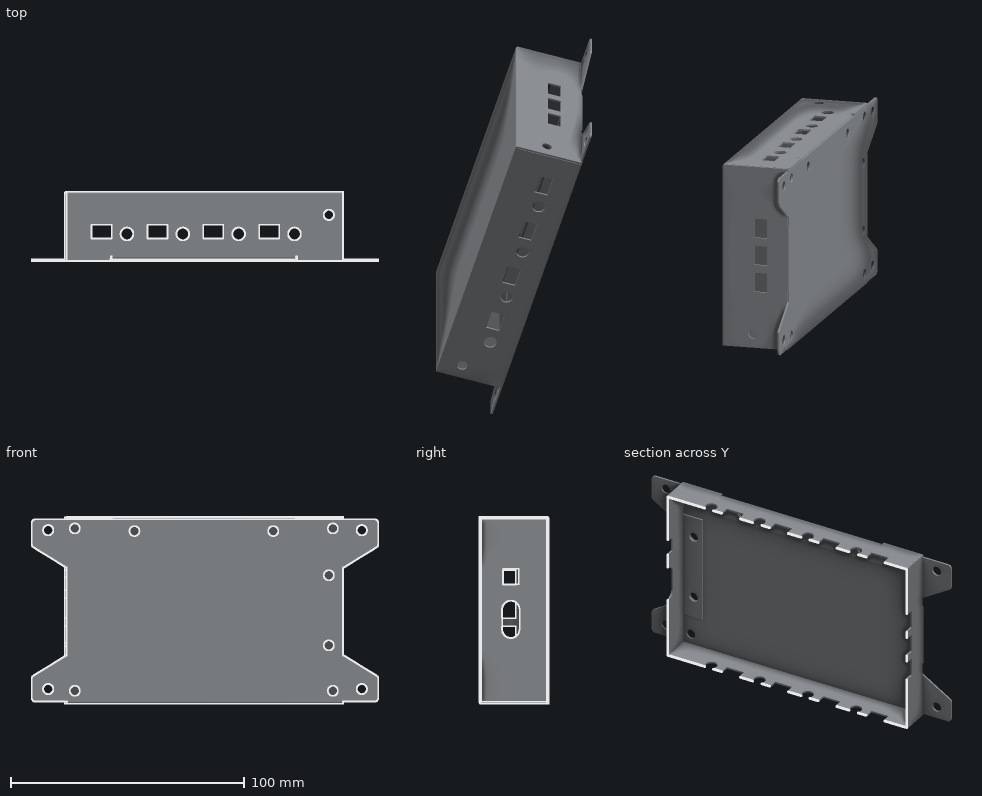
import cadquery as cq
EAR_SPAN = 148.8
DEPTH = 29.8
HEIGHT = 80.2
SHEET = 0.8
CLEARANCE = 0.18
BEND_RADIUS = 0.9
PANEL_SPAN = 118.5
SCREW_DIAMETER = 4.3

RIGHT = PANEL_SPAN / 2
PLATE_LEFT = -RIGHT
LEFT_INNER = PLATE_LEFT - CLEARANCE
LEFT = LEFT_INNER - SHEET
BOX_CENTER_X = (LEFT + RIGHT) / 2
TOP = HEIGHT / 2
TOP_INNER = TOP - SHEET
PLATE_TOP = TOP_INNER - CLEARANCE
BOTTOM = -HEIGHT / 2
BOTTOM_INNER = BOTTOM + SHEET
BACK_INNER = DEPTH - SHEET
EAR_BOTTOM = BOTTOM + BEND_RADIUS

EAR_CORNER_RADIUS = 1.8
EAR_EDGE_HALF_GAP = 28.0
NOTCH_HALF_HEIGHT = 18.6
EAR_HOLE_X = 67.3
EAR_HOLE_HALF_SPACING = 34.1
HOLE_CENTER_Z = 0.3
CORNER_HOLE_HALF_X = 55.4
CORNER_HOLE_HALF_Z = 34.8

TAB_DEPTH = 10.4
TAB_HOLE_INSET = 6.1
TAB_END_MARGIN = 9.8
TOP_TAB_HOLE_HALF_SPACING = 29.8
SIDE_TAB_HOLE_HALF_SPACING = 15.0
RELIEF_WIDTH = 0.5
RELIEF_DEPTH = 1.3
TOP_TAB_HOLES = [
    (BOX_CENTER_X + side * TOP_TAB_HOLE_HALF_SPACING, TOP - TAB_HOLE_INSET) for side in (-1, 1)
]
SIDE_TAB_HOLES = [(RIGHT - TAB_HOLE_INSET, side * SIDE_TAB_HOLE_HALF_SPACING) for side in (-1, 1)]

EAR_SLOT_HALF_GAP = 14.1
CORNER_STEP = 0.09

OPENING_LENGTH = 8.5
OPENING_WIDTH = 5.8
OPENING_Y = 12.6
PITCH = 24.0
TOP_OPENING_COUNT = 4
FIRST_OPENING_X = -44.3
ROUND_OPENING_OFFSET = 10.9
ROUND_OPENING_Y = 11.6
ROUND_OPENING_DIAMETER = 5.4
SIDE_OPENING_COUNT = 3
SIDE_OPENING_CENTER_Z = 0.9

TOP_HOLE_X = 53.1
TOP_HOLE_Y = 19.8
LEFT_HOLE_Y = 15.9
LEFT_HOLE_Z = -34.0

PANEL_OPENING_Y = 13.5
PANEL_SQUARE = 6.7
PANEL_SQUARE_Z = 14.5
PANEL_SLOT_LENGTH = 15.9
PANEL_SLOT_WIDTH = 7.5
PANEL_SLOT_Z = -3.9


def block(x0, x1, y0, y1, z0, z1):
    """A box between two limits on each axis."""
    return cq.Workplane("XY").box(x1 - x0, y1 - y0, z1 - z0, centered=False).translate((x0, y0, z0))


def holes_along_y(points, diameter, depth):
    """Cylinders from the outer front face going back, at (x, z) points."""
    return cq.Workplane("XZ").pushPoints(points).circle(diameter / 2).extrude(-depth)


def holes_along_z(points, diameter, z0, z1):
    """Upright cylinders at (x, y) points."""
    return cq.Workplane("XY").workplane(offset=z0).pushPoints(points).circle(diameter / 2).extrude(z1 - z0)


def connector_row(z0, z1):
    """Cutter for the row of rectangular and round openings between two heights."""
    opening_xs = [FIRST_OPENING_X + i * PITCH for i in range(TOP_OPENING_COUNT)]
    rectangles = (
        cq.Workplane("XY")
        .workplane(offset=z0)
        .pushPoints([(x, OPENING_Y) for x in opening_xs])
        .rect(OPENING_LENGTH, OPENING_WIDTH)
        .extrude(z1 - z0)
    )
    round_points = [(x + ROUND_OPENING_OFFSET, ROUND_OPENING_Y) for x in opening_xs]
    rounds = holes_along_z(round_points, ROUND_OPENING_DIAMETER, z0, z1)
    screw = holes_along_z([(TOP_HOLE_X, TOP_HOLE_Y)], SCREW_DIAMETER, z0, z1)
    return rectangles.union(rounds).union(screw)


def add_top_tab(housing):
    """Fold a tab down from the front edge of the top wall, with a relief cut at each end."""
    half_length = TOP_TAB_HOLE_HALF_SPACING + TAB_END_MARGIN
    x0 = BOX_CENTER_X - half_length
    x1 = BOX_CENTER_X + half_length
    clearance = block(
        x0 - RELIEF_WIDTH, x1 + RELIEF_WIDTH, 0, SHEET + RELIEF_DEPTH, TOP_INNER, TOP
    )
    rim = block(x0, x1, SHEET, SHEET + RELIEF_DEPTH, TOP_INNER, TOP)
    flange = block(x0, x1, SHEET, 2 * SHEET, TOP - TAB_DEPTH, TOP)
    tab = rim.union(flange).edges("|X and >Z and <Y").fillet(BEND_RADIUS)
    return housing.cut(clearance).union(tab).cut(holes_along_y(TOP_TAB_HOLES, SCREW_DIAMETER, DEPTH / 2))


def cut_left_wall(housing):
    """Cut the ear slots, connector openings, screw hole and edge details of the left wall."""
    for z0, z1 in ((EAR_SLOT_HALF_GAP, PLATE_TOP), (EAR_BOTTOM, -EAR_SLOT_HALF_GAP)):
        housing = housing.cut(block(LEFT, LEFT_INNER, 0, SHEET, z0, z1))

    first_z = SIDE_OPENING_CENTER_Z - (SIDE_OPENING_COUNT - 1) * PITCH / 4
    openings = [(OPENING_Y, first_z + i * PITCH / 2) for i in range(SIDE_OPENING_COUNT)]
    wall_plane = cq.Workplane("YZ").workplane(offset=LEFT)
    housing = housing.cut(wall_plane.pushPoints(openings).rect(OPENING_WIDTH, OPENING_LENGTH).extrude(SHEET))
    screw = wall_plane.center(LEFT_HOLE_Y, LEFT_HOLE_Z).circle(SCREW_DIAMETER / 2).extrude(SHEET)
    return housing.cut(screw).cut(block(LEFT, LEFT_INNER, 0, DEPTH, TOP - CORNER_STEP, TOP))


def make_housing():
    """Back, left and top walls, bent from one sheet."""
    envelope = block(LEFT, RIGHT, 0, DEPTH, BOTTOM, TOP)
    envelope = envelope.edges("(|X and >Y and >Z) or (|Z and <X and >Y)").fillet(BEND_RADIUS)
    envelope = envelope.edges("|X and <Y and <Z").fillet(BEND_RADIUS)
    housing = envelope.cut(block(LEFT_INNER, RIGHT, 0, BACK_INNER, BOTTOM, TOP_INNER))
    housing = cut_left_wall(add_top_tab(housing))
    return housing.cut(connector_row(TOP_INNER, TOP))


def make_front_plate():
    """Front plate with four mounting ears, bent into the bottom wall."""
    walls = block(PLATE_LEFT, RIGHT, 0, BACK_INNER, BOTTOM, PLATE_TOP)
    walls = walls.edges("|X and <Y and <Z").fillet(BEND_RADIUS)
    walls = walls.cut(block(PLATE_LEFT, RIGHT, SHEET, BACK_INNER, BOTTOM_INNER, PLATE_TOP))

    middle_z = (PLATE_TOP + BOTTOM) / 2
    tip = EAR_SPAN / 2
    for side in (-1, 1):
        for edge_z, direction in ((PLATE_TOP, 1), (EAR_BOTTOM, -1)):
            outline = [
                (0, edge_z),
                (side * tip, edge_z),
                (side * tip, middle_z + direction * EAR_EDGE_HALF_GAP),
                (side * RIGHT, middle_z + direction * NOTCH_HALF_HEIGHT),
                (0, middle_z + direction * NOTCH_HALF_HEIGHT),
            ]
            ear = cq.Workplane("XZ").polyline(outline).close().extrude(-SHEET)
            outer_edges = "|Y and >X" if side > 0 else "|Y and <X"
            walls = walls.union(ear.edges(outer_edges).fillet(EAR_CORNER_RADIUS))

    screw_points = TOP_TAB_HOLES + SIDE_TAB_HOLES
    for side in (-1, 1):
        for level in (-1, 1):
            screw_points.append((side * EAR_HOLE_X, HOLE_CENTER_Z + level * EAR_HOLE_HALF_SPACING))
            corner_x = BOX_CENTER_X + side * CORNER_HOLE_HALF_X
            screw_points.append((corner_x, HOLE_CENTER_Z + level * CORNER_HOLE_HALF_Z))
    plate = walls.cut(holes_along_y(screw_points, SCREW_DIAMETER, SHEET))
    return plate.cut(connector_row(BOTTOM, BOTTOM_INNER))


def make_right_panel():
    """Flat right wall with a screw tab folded in behind the front plate."""
    panel = block(RIGHT - SHEET, RIGHT, SHEET, BACK_INNER, BOTTOM_INNER, TOP_INNER)
    half_length = SIDE_TAB_HOLE_HALF_SPACING + TAB_END_MARGIN
    tab = block(RIGHT - TAB_DEPTH, RIGHT, SHEET, 2 * SHEET, -half_length, half_length)
    panel = panel.union(tab).cut(holes_along_y(SIDE_TAB_HOLES, SCREW_DIAMETER, DEPTH / 2))

    wall_plane = cq.Workplane("YZ").workplane(offset=RIGHT - SHEET)
    square = wall_plane.center(PANEL_OPENING_Y, PANEL_SQUARE_Z).rect(PANEL_SQUARE, PANEL_SQUARE).extrude(SHEET)
    slot = (
        wall_plane.center(PANEL_OPENING_Y, PANEL_SLOT_Z)
        .slot2D(PANEL_SLOT_LENGTH, PANEL_SLOT_WIDTH, 90)
        .extrude(SHEET)
    )
    return panel.cut(square).cut(slot)


housing = make_housing()
front_plate = make_front_plate()
right_panel = make_right_panel()

result = cq.Compound.makeCompound([housing.val(), front_plate.val(), right_panel.val()])